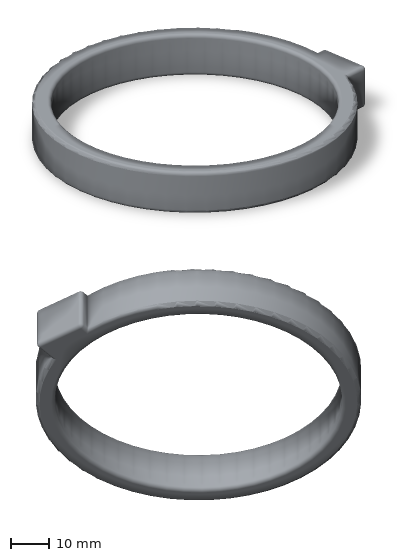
import cadquery as cq

outer_diameter = 85.0
inner_diameter = 75.0
height = 12.0
edge_radius = 1.0

tab_turn = 26.0
tab_width = 15.0
tab_offset = 11.7
tab_reach = 45.0
tab_corner_radius = 1.0


def make_cylinder(diameter):
    return cq.Workplane("XY").circle(diameter / 2).extrude(height)


def make_tab():
    """Block from the X axis out to the tab's flat outer face, with its two outer corners rounded."""
    block = (
        cq.Workplane("XY")
        .center(tab_offset, tab_reach / 2)
        .rect(tab_width, tab_reach)
        .extrude(height)
    )
    rounded = block.edges("|Z and >Y").fillet(tab_corner_radius)
    return rounded.rotate((0, 0, 0), (0, 0, 1), tab_turn)


def make_ring():
    """Ring and tab in one solid, bored through, with all top and bottom edges rounded."""
    rim = make_cylinder(outer_diameter).union(make_tab())
    blank = rim.cut(make_cylinder(inner_diameter))
    return blank.faces("<Z or >Z").edges().fillet(edge_radius)


ring = make_ring()

result = cq.Compound.makeCompound([ring.val()])